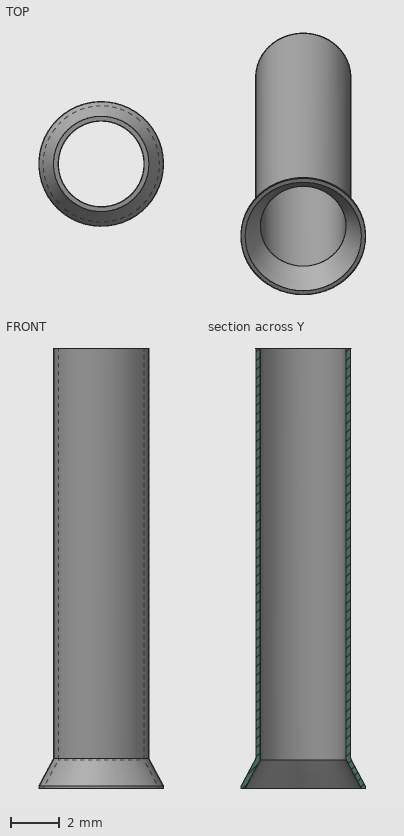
import cadquery as cq
import math

total_length = 18.0
tube_outer_diameter = 3.9
wall_thickness = 0.2
rim_diameter = 5.1
rim_height = 0.1
flare_height = 1.22

tube_radius = tube_outer_diameter / 2
bore_radius = tube_radius - wall_thickness
rim_radius = rim_diameter / 2

flare_angle = math.atan2(rim_radius - tube_radius, flare_height - rim_height)
outer_cone_radius_at_end = tube_radius + flare_height * math.tan(flare_angle)
mouth_radius = outer_cone_radius_at_end - wall_thickness / math.cos(flare_angle)
bore_flare_height = (mouth_radius - bore_radius) / math.tan(flare_angle)


def make_sleeve():
    """Revolve the thin wall section of the flared tube about the Z axis."""
    wall_section = (
        cq.Workplane("XZ")
        .moveTo(mouth_radius, 0)
        .lineTo(rim_radius, 0)
        .lineTo(rim_radius, rim_height)
        .lineTo(tube_radius, flare_height)
        .lineTo(tube_radius, total_length)
        .lineTo(bore_radius, total_length)
        .lineTo(bore_radius, bore_flare_height)
        .close()
    )
    return wall_section.revolve(360, (0, 0, 0), (0, 1, 0))


result = make_sleeve()